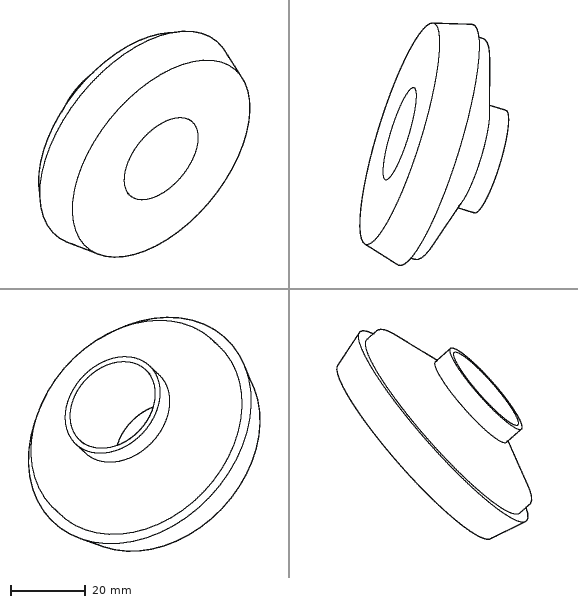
import math

import cadquery as cq

total_length = 26.0
sleeve_length = 5.5
rim_length = 10.4

bore_radius = 13.0
sleeve_radius = 14.5
shoulder_radius = 31.2
rim_radius = 34.0

cone_angle = math.radians(20)
rim_taper = math.radians(15)
shoulder_fillet = 0.5

rim_start = total_length - rim_length
back_radius = rim_radius - rim_length * math.tan(rim_taper)

shoulder_corner = sleeve_length + (shoulder_radius - sleeve_radius) * math.tan(cone_angle)
fillet_turn = math.pi / 2 - cone_angle
fillet_setback = shoulder_fillet * math.tan(fillet_turn / 2)
fillet_start = (
    shoulder_corner - fillet_setback * math.sin(cone_angle),
    shoulder_radius - fillet_setback * math.cos(cone_angle),
)
fillet_end = (shoulder_corner + fillet_setback, shoulder_radius)


def half_section():
    """Section in the XZ plane on one side of the axis: sleeve, cone, shoulder, rim."""
    return (
        cq.Workplane("XZ")
        .moveTo(0, bore_radius)
        .lineTo(0, sleeve_radius)
        .lineTo(sleeve_length, sleeve_radius)
        .lineTo(*fillet_start)
        .tangentArcPoint(fillet_end, relative=False)
        .lineTo(rim_start, shoulder_radius)
        .lineTo(rim_start, rim_radius)
        .lineTo(total_length, back_radius)
        .lineTo(total_length, bore_radius)
        .close()
    )


result = half_section().revolve(360, (0, 0, 0), (1, 0, 0))